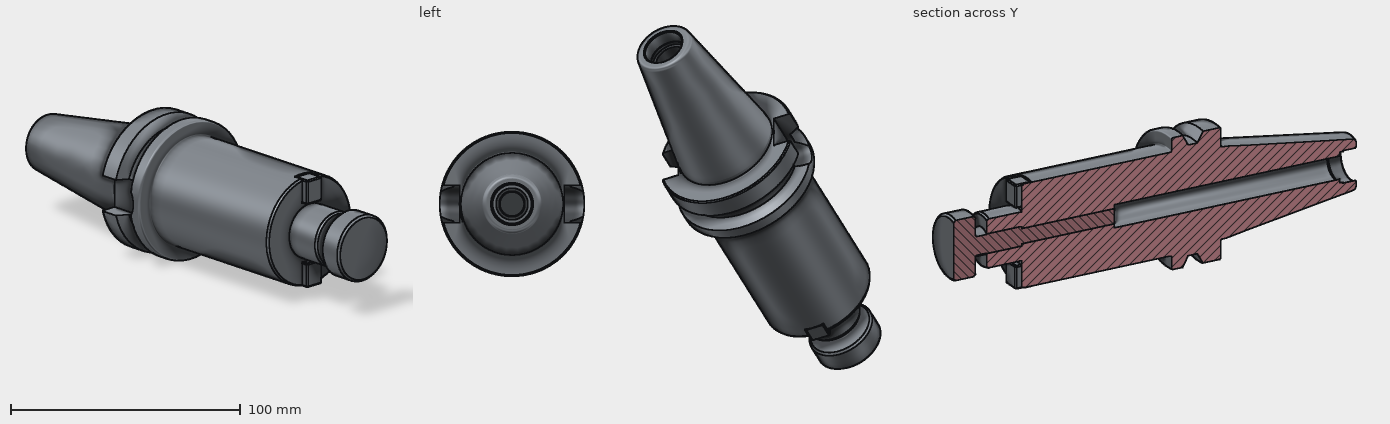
import cadquery as cq


GAUGE_DIAMETER = 44.5
GAUGE_X = 65.3
TAPER = 7 / 24
REAR_FILLET = 2.0
NECK_FILLET = 0.6

FLANGE_DIAMETER = 63.0
FLANGE_X = 67.7
FLANGE_WIDTH = 24.8
REAR_RIM_WIDTH = 9.0
FRONT_RIM_WIDTH = 5.6
GROOVE_FLOOR_DIAMETER = 53.2
GROOVE_FLANK = 2.8
REAR_RIM_CHAMFER = 0.6
FRONT_RIM_FILLET = 1.0

KEYWAY_WIDTH = 16.3
KEYWAY_FLOOR_RADIUS = 22.8
KEYWAY_LENGTH = 21.1

BODY_DIAMETER = 50.0
BODY_END_X = 167.4
BODY_ROOT_FILLET = 0.6
SPIGOT_DIAMETER = 25.0
SPIGOT_LENGTH = 17.5
END_CHAMFER_LENGTH = 1.2
END_CHAMFER_DEPTH = 0.6
UNDERCUT_DIAMETER = 24.8
UNDERCUT_FLAT = 0.6
UNDERCUT_LENGTH = 1.8

MOUTH_DIAMETER = 18.5
PILOT_DIAMETER = 17.5
PILOT_DEPTH = 6.6
COUNTERBORE_DIAMETER = 17.0
COUNTERBORE_DEPTH = 8.3
BORE_DIAMETER = 13.9

NECK_DIAMETER = 12.7
SCREW_DIAMETER = 11.3
SCREW_TIP_DIAMETER = 10.5
SCREW_TIP_X = 120.8
HEAD_DIAMETER = 30.0
HEAD_X = 190.3
HEAD_CHAMFER = 1.0
HEAD_FILLET = 0.6
TOTAL_LENGTH = 201.5

KEY_WIDTH = 8.9
KEY_LENGTH = 8.0
KEY_X = 162.3
KEY_INNER_RADIUS = 13.5
KEY_OUTER_RADIUS = 24.5
KEY_CHAMFER = 0.6

EDGE_TOLERANCE = 0.02


def revolve_about_x(profile):
    """Turn a closed half-profile, drawn as (x, radius), about the X axis."""
    return profile.close().revolve(360, (0, 0, 0), (1, 0, 0))


def fillet_rim(solid, x, diameter, radius):
    """Fillet the one circular edge that has the given diameter and lies at the given X."""
    def is_rim(edge):
        same_place = abs(edge.Center().x - x) < EDGE_TOLERANCE
        return same_place and abs(edge.radius() - diameter / 2) < EDGE_TOLERANCE

    return solid.edges("%CIRCLE").filter(is_rim).fillet(radius)


def make_outside():
    """Turned outer shape: taper, grooved flange, body and spigot, as one solid of revolution."""
    gauge_radius = GAUGE_DIAMETER / 2
    rear_radius = gauge_radius - GAUGE_X * TAPER / 2
    rim_radius = FLANGE_DIAMETER / 2
    groove_radius = GROOVE_FLOOR_DIAMETER / 2
    body_radius = BODY_DIAMETER / 2
    spigot_radius = SPIGOT_DIAMETER / 2
    undercut_radius = UNDERCUT_DIAMETER / 2
    flange_end_x = FLANGE_X + FLANGE_WIDTH
    groove_start_x = FLANGE_X + REAR_RIM_WIDTH
    groove_end_x = flange_end_x - FRONT_RIM_WIDTH
    spigot_end_x = BODY_END_X + SPIGOT_LENGTH

    outside = revolve_about_x(
        cq.Workplane("XY")
        .moveTo(0, 0)
        .lineTo(0, rear_radius)
        .lineTo(GAUGE_X, gauge_radius)
        .lineTo(FLANGE_X, gauge_radius)
        .lineTo(FLANGE_X, rim_radius - REAR_RIM_CHAMFER)
        .lineTo(FLANGE_X + REAR_RIM_CHAMFER, rim_radius)
        .lineTo(groove_start_x, rim_radius)
        .lineTo(groove_start_x + GROOVE_FLANK, groove_radius)
        .lineTo(groove_end_x - GROOVE_FLANK, groove_radius)
        .lineTo(groove_end_x, rim_radius)
        .lineTo(flange_end_x, rim_radius)
        .lineTo(flange_end_x, body_radius)
        .lineTo(BODY_END_X - END_CHAMFER_LENGTH, body_radius)
        .lineTo(BODY_END_X, body_radius - END_CHAMFER_DEPTH)
        .lineTo(BODY_END_X, undercut_radius)
        .lineTo(BODY_END_X + UNDERCUT_FLAT, undercut_radius)
        .lineTo(BODY_END_X + UNDERCUT_LENGTH, spigot_radius)
        .lineTo(spigot_end_x - END_CHAMFER_LENGTH, spigot_radius)
        .lineTo(spigot_end_x, spigot_radius - END_CHAMFER_DEPTH)
        .lineTo(spigot_end_x, 0)
    )
    outside = fillet_rim(outside, 0, 2 * rear_radius, REAR_FILLET)
    outside = fillet_rim(outside, FLANGE_X, GAUGE_DIAMETER, NECK_FILLET)
    outside = fillet_rim(outside, flange_end_x, BODY_DIAMETER, BODY_ROOT_FILLET)
    return fillet_rim(outside, flange_end_x, FLANGE_DIAMETER, FRONT_RIM_FILLET)


def make_bore():
    """Stepped bore from the rear face, ending in a stepped screw hole through the spigot."""
    mouth_radius = MOUTH_DIAMETER / 2
    pilot_radius = PILOT_DIAMETER / 2
    counterbore_radius = COUNTERBORE_DIAMETER / 2
    bore_radius = BORE_DIAMETER / 2
    screw_radius = SCREW_DIAMETER / 2
    neck_radius = NECK_DIAMETER / 2
    spigot_end_x = BODY_END_X + SPIGOT_LENGTH
    return revolve_about_x(
        cq.Workplane("XY")
        .moveTo(0, 0)
        .lineTo(0, mouth_radius)
        .lineTo(mouth_radius - pilot_radius, pilot_radius)
        .lineTo(PILOT_DEPTH, pilot_radius)
        .lineTo(PILOT_DEPTH, counterbore_radius)
        .lineTo(COUNTERBORE_DEPTH, counterbore_radius)
        .lineTo(COUNTERBORE_DEPTH, bore_radius)
        .lineTo(SCREW_TIP_X, bore_radius)
        .lineTo(SCREW_TIP_X, screw_radius)
        .lineTo(BODY_END_X, screw_radius)
        .lineTo(BODY_END_X, neck_radius)
        .lineTo(spigot_end_x, neck_radius)
        .lineTo(spigot_end_x, 0)
    )


def make_keyway(side):
    """Round-ended keyway cutter on one side of the flange; side is +1 or -1 along Y."""
    end_radius = KEYWAY_WIDTH / 2
    straight = KEYWAY_LENGTH - end_radius
    depth = FLANGE_DIAMETER / 2 - KEYWAY_FLOOR_RADIUS
    return (
        cq.Workplane("XZ", origin=(FLANGE_X, side * KEYWAY_FLOOR_RADIUS, 0))
        .moveTo(0, -end_radius)
        .lineTo(straight, -end_radius)
        .threePointArc((KEYWAY_LENGTH, 0), (straight, end_radius))
        .lineTo(0, end_radius)
        .close()
        .extrude(-side * depth)
    )


def make_key_blank(side, outer_radius):
    """Square-edged key block, reaching out to outer_radius; side is +1 or -1 along Z."""
    height = outer_radius - KEY_INNER_RADIUS
    centre = (KEY_X + KEY_LENGTH / 2, 0, side * (KEY_INNER_RADIUS + height / 2))
    return cq.Workplane("XY").box(KEY_LENGTH, KEY_WIDTH, height).translate(centre)


def make_key(side):
    """Drive key with every edge chamfered."""
    return make_key_blank(side, KEY_OUTER_RADIUS).edges().chamfer(KEY_CHAMFER)


def make_holder():
    """Arbor with its bore, flange keyways and the two slots that hold the keys."""
    holder = make_outside().cut(make_bore())
    for side in (1, -1):
        holder = holder.cut(make_keyway(side))
        holder = holder.cut(make_key_blank(side, BODY_DIAMETER / 2))
    return holder


def make_screw():
    """Clamping screw: chamfered tip, shank, thicker neck and a round head."""
    shank_radius = SCREW_DIAMETER / 2
    neck_radius = NECK_DIAMETER / 2
    tip_radius = SCREW_TIP_DIAMETER / 2
    head_radius = HEAD_DIAMETER / 2
    screw = revolve_about_x(
        cq.Workplane("XY")
        .moveTo(SCREW_TIP_X, 0)
        .lineTo(SCREW_TIP_X, tip_radius)
        .lineTo(SCREW_TIP_X + shank_radius - tip_radius, shank_radius)
        .lineTo(BODY_END_X, shank_radius)
        .lineTo(BODY_END_X, neck_radius)
        .lineTo(HEAD_X, neck_radius)
        .lineTo(HEAD_X, head_radius - HEAD_CHAMFER)
        .lineTo(HEAD_X + HEAD_CHAMFER, head_radius)
        .lineTo(TOTAL_LENGTH - HEAD_CHAMFER, head_radius)
        .lineTo(TOTAL_LENGTH, head_radius - HEAD_CHAMFER)
        .lineTo(TOTAL_LENGTH, 0)
    )
    return fillet_rim(screw, HEAD_X, NECK_DIAMETER, HEAD_FILLET)


holder = make_holder()
screw = make_screw()
keys = [make_key(side) for side in (1, -1)]

result = cq.Compound.makeCompound([holder.val(), screw.val(), *[key.val() for key in keys]])